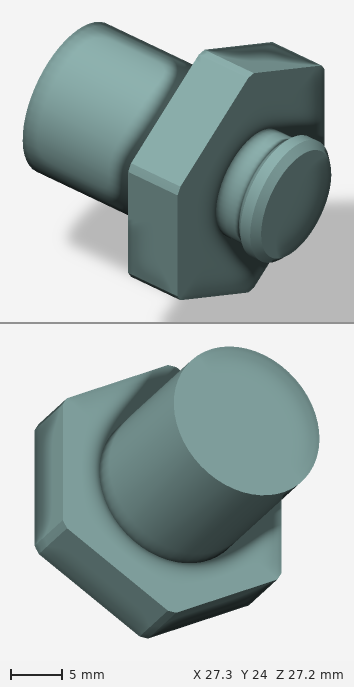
import cadquery as cq
import math

total_length = 27.3
hex_thickness = 6.0
spigot_length = 5.5
shank_length = total_length - hex_thickness - spigot_length
head_length = 2.73
head_chamfer = 0.76
neck_length = spigot_length - head_length

shank_diameter = 16.0
across_flats = 24.0
corner_diameter = 27.2
head_diameter = 13.0
neck_diameter = head_diameter - 2 * head_chamfer


def cross_section_at(x):
    """Workplane facing +X, with its local x axis along +Z."""
    return cq.Workplane(cq.Plane(origin=(x, 0, 0), xDir=(0, 0, 1), normal=(1, 0, 0)))


def cylinder_along_x(start, length, diameter):
    return cross_section_at(start).circle(diameter / 2).extrude(length)


def hex_collar(start):
    """Hexagon with corners on +Z and -Z, all six turned down to a common diameter."""
    hexagon = (
        cross_section_at(start)
        .polygon(6, across_flats / math.cos(math.pi / 6))
        .extrude(hex_thickness)
    )
    return hexagon.intersect(cylinder_along_x(start, hex_thickness, corner_diameter))


hex_end = shank_length + hex_thickness
head_start = hex_end + neck_length

shank = cylinder_along_x(0, shank_length, shank_diameter)
collar = hex_collar(shank_length)
neck = cylinder_along_x(hex_end, neck_length, neck_diameter)
head = cylinder_along_x(head_start, head_length, head_diameter).edges("%CIRCLE").chamfer(head_chamfer)

result = shank.union(collar).union(neck).union(head)